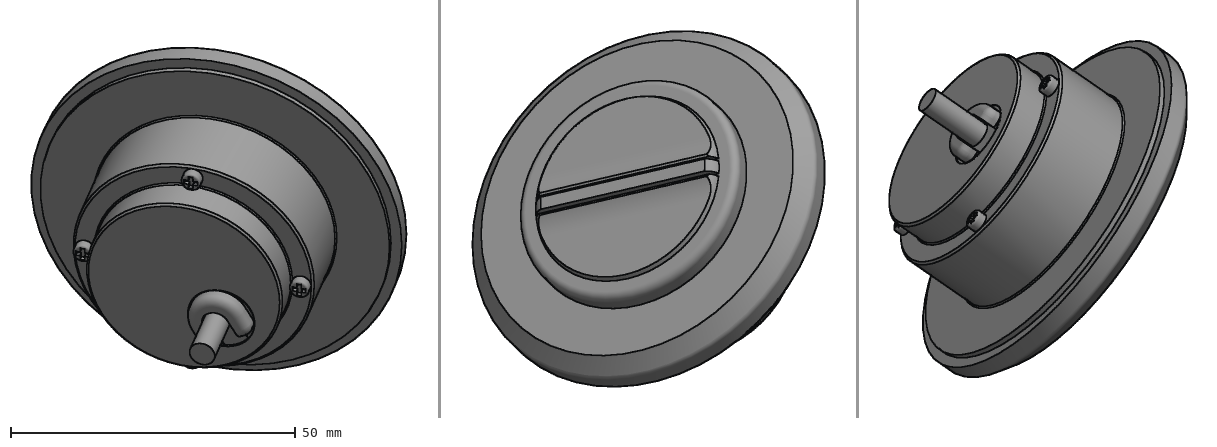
import cadquery as cq
import math


flange_radius = 33.75
flange_front = 1.0
flange_rim_end = 4.05
flange_back = 7.2
flange_back_radius = 30.8
flange_edge_break = 0.2
flange_round_radius = 1.1
rear_bevel_angle = 45.0
lip_radius = 31.8

cap_radius = 21.45
cap_back = 11.1
cap_round = 1.4

housing_radius = 21.95
housing_front = -14.5
drum_radius = 17.8
drum_front = -20.65
edge_chamfer = 0.4
base_flare = 0.3

pad_radius = 17.95
pad_top_radius = 16.05
pad_bulge_radius = 17.3
pad_bulge_y = 12.15
pad_top = 12.95
dish_level = 11.9
dish_start = 6.1
fin_top = 12.75
fin_outer = 2.2
fin_inner = 1.75
fin_bevel = 0.2
bar_half_width = 1.2

screw_count = 4
screw_circle_radius = 19.7
screw_radius = 1.75
screw_height = 1.75
screw_round = 0.4
cross_length = 2.4
cross_width = 0.8
cross_depth = 0.8

shaft_x = 6.4
shaft_z = -5.2
shaft_radius = 2.3
shaft_front = -32.05
collar_radius = 5.4
collar_length = 4.45
collar_front = -23.15
collar_round = 1.55
collar_corner = 1.75
slot_half_width = 2.5
slot_angle = -60.0
slot_depth = 0.5
seat_x = 6.75
seat_z = -5.7
seat_radius = 6.1
seat_depth = 0.2


def front_plane(y, x=0.0, z=0.0, turn=0.0):
    """Plane at the given Y facing -Y, with its local x turned from +X toward +Z."""
    angle = math.radians(turn)
    return cq.Plane(
        origin=(x, y, z),
        xDir=(math.cos(angle), 0, math.sin(angle)),
        normal=(0, -1, 0),
    )


def revolve_about_y(profile):
    return profile.close().revolve(360, (0, 0, 0), (0, 1, 0))


def make_body():
    """Drum, housing, lip, flange and cap as one turned profile."""
    profile = (
        cq.Workplane("XY")
        .moveTo(0, drum_front)
        .lineTo(drum_radius - edge_chamfer, drum_front)
        .lineTo(drum_radius, drum_front + edge_chamfer)
        .lineTo(drum_radius, housing_front - base_flare)
        .lineTo(drum_radius + base_flare, housing_front)
        .lineTo(housing_radius - edge_chamfer, housing_front)
        .lineTo(housing_radius, housing_front + edge_chamfer)
        .lineTo(housing_radius, -base_flare)
        .lineTo(housing_radius + base_flare, 0)
        .lineTo(lip_radius, 0)
        .lineTo(lip_radius, flange_front)
        .lineTo(flange_radius, flange_front)
        .lineTo(flange_radius, flange_rim_end)
    )
    bend = math.radians(rear_bevel_angle)
    blend_radius = flange_radius - flange_round_radius * (1 - math.cos(bend))
    blend_end = flange_rim_end + flange_round_radius * math.sin(bend)
    profile = (
        profile.tangentArcPoint((blend_radius, blend_end), relative=False)
        .lineTo(flange_back_radius, flange_back - flange_edge_break)
        .lineTo(flange_back_radius - flange_edge_break, flange_back)
        .lineTo(cap_radius, flange_back)
        .lineTo(cap_radius, cap_back - cap_round)
        .tangentArcPoint((cap_radius - cap_round, cap_back), relative=False)
        .lineTo(0, cap_back)
    )
    return revolve_about_y(profile)


def make_pad():
    """Round-edged pad dished on both sides of a central bar."""
    blank = revolve_about_y(
        cq.Workplane("XY")
        .moveTo(0, flange_back)
        .lineTo(pad_radius, flange_back)
        .lineTo(pad_radius, cap_back)
        .threePointArc((pad_bulge_radius, pad_bulge_y), (pad_top_radius, pad_top))
        .lineTo(0, pad_top)
    )
    wing = (
        cq.Workplane("YZ")
        .moveTo(flange_back, pad_radius)
        .lineTo(dish_level, pad_radius)
        .lineTo(dish_level, dish_start)
        .tangentArcPoint((fin_top, fin_outer), relative=False)
        .lineTo(fin_top - fin_bevel, fin_inner)
        .lineTo(flange_back, fin_inner)
        .close()
        .extrude(pad_radius, both=True)
    )
    bar = (
        cq.Workplane("XZ", origin=(0, flange_back, 0))
        .rect(2 * pad_radius, 2 * bar_half_width)
        .extrude(flange_back - pad_top)
    )
    sections = bar.union(wing).union(wing.mirror("XY"))
    return blank.intersect(sections)


def make_screw(angle):
    """Rounded screw head with a cross recess."""
    x = screw_circle_radius * math.cos(math.radians(angle))
    z = screw_circle_radius * math.sin(math.radians(angle))
    head = (
        cq.Workplane(front_plane(housing_front, x, z))
        .circle(screw_radius)
        .extrude(screw_height)
        .faces("<Y").edges()
        .fillet(screw_round)
    )
    recess = (
        cq.Workplane(front_plane(housing_front - screw_height, x, z))
        .rect(cross_length, cross_width)
        .extrude(-cross_depth)
    )
    crossing = recess.rotate((x, 0, z), (x, 1, z), 90)
    return head.cut(recess).cut(crossing)


def make_seat(floor, height):
    """Disc under the collar, rising from the given floor toward -Y."""
    return (
        cq.Workplane(front_plane(floor, seat_x, seat_z))
        .circle(seat_radius)
        .extrude(height)
    )


def make_horseshoe(floor, half_width, length, height):
    """Block with one round end centred on the shaft, running toward the slot opening."""
    return (
        cq.Workplane(front_plane(floor, shaft_x, shaft_z, slot_angle))
        .moveTo(length, half_width)
        .lineTo(0, half_width)
        .threePointArc((-half_width, 0), (0, -half_width))
        .lineTo(length, -half_width)
        .close()
        .extrude(height)
    )


def make_collar():
    """Horseshoe block with rounded ends kept within the seat, solid until the slot is cut."""
    floor = drum_front + seat_depth
    height = floor - collar_front
    block = make_horseshoe(floor, collar_radius, collar_length, height)
    block = block.edges("|Y").edges("<Z or >X").fillet(collar_corner)
    return block.faces("<Y").edges().fillet(collar_round).intersect(make_seat(floor, height))


def make_slot():
    """Round-ended slot from the shaft to the edge of the seat."""
    floor = drum_front + slot_depth
    height = floor - collar_front
    run = make_horseshoe(floor, slot_half_width, 2 * seat_radius, height)
    return run.intersect(make_seat(floor, height))


def make_shaft():
    root = drum_front + slot_depth
    return (
        cq.Workplane(front_plane(root, shaft_x, shaft_z))
        .circle(shaft_radius)
        .extrude(root - shaft_front)
    )


result = make_body().union(make_pad())
for index in range(screw_count):
    result = result.union(make_screw(index * 360 / screw_count))
result = result.cut(make_seat(drum_front + seat_depth, seat_depth))
result = result.union(make_collar()).cut(make_slot()).union(make_shaft())